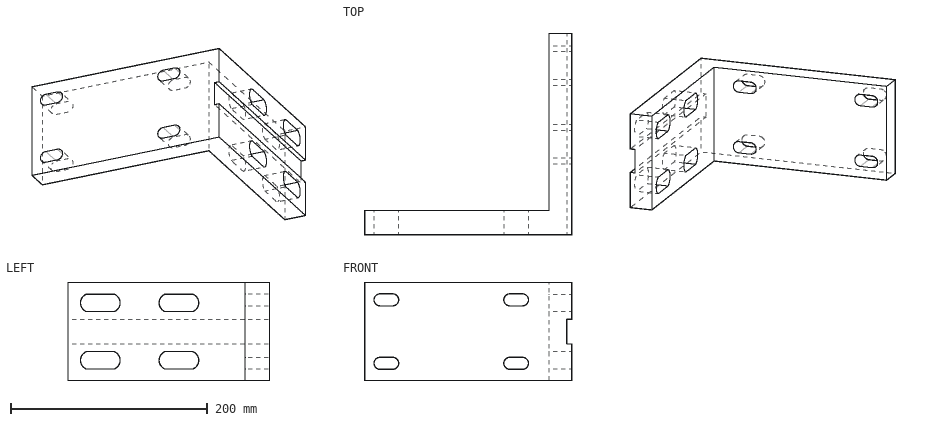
import cadquery as cq

length_x = 211.0
length_y = 205.0
height = 100.0
front_thickness = 25.0
side_thickness = 23.5

front_slot_length = 25.0
front_slot_width = 12.0
front_slot_center_x = 22.2
front_slot_pitch_x = 132.0
front_slot_pitch_z = 64.5

side_slot_length = 40.0
side_slot_width = 17.5
side_slot_end_radius = 9.5
side_slot_end_margin = 12.9
side_slot_pitch_y = 80.0
side_slot_pitch_z = 58.5

groove_width = 25.0
groove_depth = 5.0

middle_z = height / 2


def make_bracket():
    """L-shaped profile extruded upward, with its outer corner at +X, -Y."""
    inner_x = length_x - side_thickness
    return (
        cq.Workplane("XY")
        .polyline([
            (0, 0),
            (length_x, 0),
            (length_x, length_y),
            (inner_x, length_y),
            (inner_x, front_thickness),
            (0, front_thickness),
        ])
        .close()
        .extrude(height)
    )


def slot_centers(first, second, pitch_z):
    """Two slot positions along a plate, each at two mirrored heights."""
    return [
        (along, middle_z + side * pitch_z / 2)
        for along in (first, second)
        for side in (-1, 1)
    ]


def make_front_slots():
    centers = slot_centers(
        front_slot_center_x, front_slot_center_x + front_slot_pitch_x, front_slot_pitch_z
    )
    return (
        cq.Workplane("XZ")
        .pushPoints(centers)
        .slot2D(front_slot_length, front_slot_width)
        .extrude(-front_thickness)
    )


def make_side_slots():
    """Slots whose end arcs are slightly flatter than full half circles."""
    outer_y = length_y - side_slot_end_margin - side_slot_length / 2
    centers = slot_centers(outer_y, outer_y - side_slot_pitch_y, side_slot_pitch_z)
    plate_face = cq.Workplane("YZ", origin=(length_x - side_thickness, 0, 0)).pushPoints(centers)
    bars = plate_face.rect(side_slot_length, side_slot_width).extrude(side_thickness)
    rounded_ends = plate_face.slot2D(side_slot_length, 2 * side_slot_end_radius).extrude(side_thickness)
    return bars.intersect(rounded_ends)


def make_groove():
    return cq.Workplane("XY").box(
        groove_depth, length_y, groove_width, centered=(False, False, True)
    ).translate((length_x - groove_depth, 0, middle_z))


result = make_bracket().cut(make_front_slots()).cut(make_side_slots()).cut(make_groove())